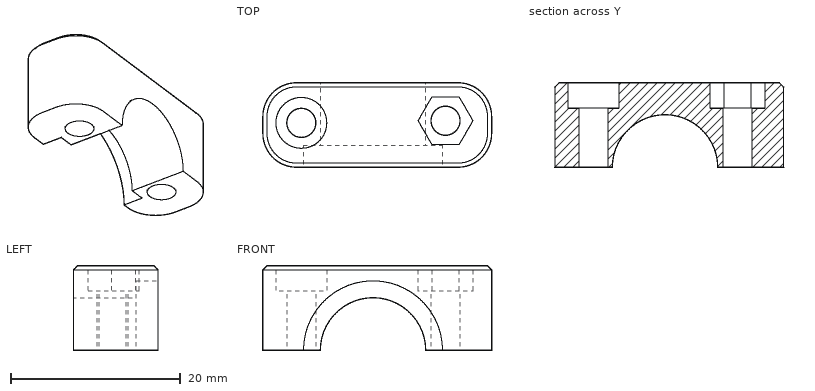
import cadquery as cq
import math

LENGTH = 27.0
WIDTH = 10.0
HEIGHT = 10.0
CORNER_RADIUS = 4.0
TOP_CHAMFER = 0.5

SADDLE_X = 13.0
SEAT_RADIUS = 8.2
BORE_RADIUS = 6.2
SEAT_DEPTH = 2.6

HOLE_MIDPOINT_X = 13.05
HOLE_SPACING = 17.0
HOLE_DIAMETER = 3.4
SCREW_X = HOLE_MIDPOINT_X - HOLE_SPACING / 2
SCREW_Y = 5.25
NUT_X = HOLE_MIDPOINT_X + HOLE_SPACING / 2
NUT_Y = 5.5

HEAD_DIAMETER = 6.0
HEAD_DEPTH = 3.0
NUT_ACROSS_FLATS = 5.6
NUT_ACROSS_CORNERS = NUT_ACROSS_FLATS / math.cos(math.pi / 6)
NUT_DEPTH = 3.0


def make_body():
    """Block with rounded vertical corners and a chamfered top edge."""
    block = cq.Workplane("XY").box(LENGTH, WIDTH, HEIGHT, centered=False)
    return block.edges("|Z").fillet(CORNER_RADIUS).faces(">Z").chamfer(TOP_CHAMFER)


def make_saddle_cutter(radius, depth):
    """Cylinder from the front face along +Y, with its axis in the bottom face."""
    front_center = cq.Vector(SADDLE_X, 0, 0)
    return cq.Workplane(cq.Solid.makeCylinder(radius, depth, front_center, cq.Vector(0, 1, 0)))


def cut_saddle(body):
    """Cut the bore through the full width and the wider seat at the front."""
    bored = body.cut(make_saddle_cutter(BORE_RADIUS, WIDTH))
    return bored.cut(make_saddle_cutter(SEAT_RADIUS, SEAT_DEPTH))


def make_hole_cutter(x, y):
    """Screw clearance hole through the full height."""
    return cq.Workplane("XY").center(x, y).circle(HOLE_DIAMETER / 2).extrude(HEIGHT)


def make_head_cutter():
    """Round recess for the screw head."""
    floor = cq.Workplane("XY", origin=(SCREW_X, SCREW_Y, HEIGHT - HEAD_DEPTH))
    return floor.circle(HEAD_DIAMETER / 2).extrude(HEAD_DEPTH)


def make_nut_cutter():
    """Hexagonal recess for the nut, with two corners on the X direction."""
    floor = cq.Workplane("XY", origin=(NUT_X, NUT_Y, HEIGHT - NUT_DEPTH))
    return floor.polygon(6, NUT_ACROSS_CORNERS).extrude(NUT_DEPTH)


result = cut_saddle(make_body())
for hole_x, hole_y in ((SCREW_X, SCREW_Y), (NUT_X, NUT_Y)):
    result = result.cut(make_hole_cutter(hole_x, hole_y))
result = result.cut(make_head_cutter()).cut(make_nut_cutter())